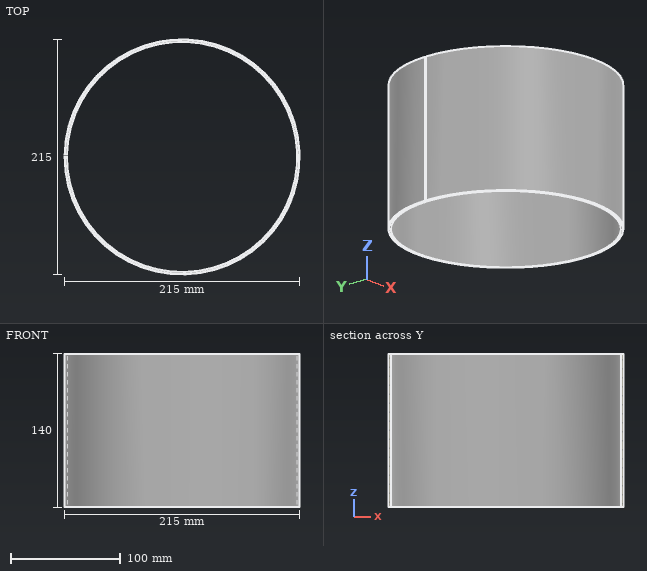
import cadquery as cq

outer_diameter = 215.0
wall_thickness = 2.5
height = 140.0
outer_chamfer = 0.5
inner_chamfer = 0.2
gap_angle = 1.0
wall_start_angle = 180.0

outer_radius = outer_diameter / 2
inner_radius = outer_radius - wall_thickness
half_height = height / 2


def make_wall_section():
    """Wall cross-section in the XZ plane, with both rims chamfered outside and inside."""
    return (
        cq.Workplane("XZ")
        .moveTo(inner_radius + inner_chamfer, -half_height)
        .lineTo(outer_radius - outer_chamfer, -half_height)
        .lineTo(outer_radius, -half_height + outer_chamfer)
        .lineTo(outer_radius, half_height - outer_chamfer)
        .lineTo(outer_radius - outer_chamfer, half_height)
        .lineTo(inner_radius + inner_chamfer, half_height)
        .lineTo(inner_radius, half_height - inner_chamfer)
        .lineTo(inner_radius, -half_height + inner_chamfer)
        .close()
    )


def make_split_sleeve():
    """Sweep the wall round Z, stopping short of a full turn to leave the radial gap."""
    sleeve = make_wall_section().revolve(360.0 - gap_angle, (0, 0, 0), (0, 1, 0))
    return sleeve.rotate((0, 0, 0), (0, 0, 1), wall_start_angle)


result = make_split_sleeve()